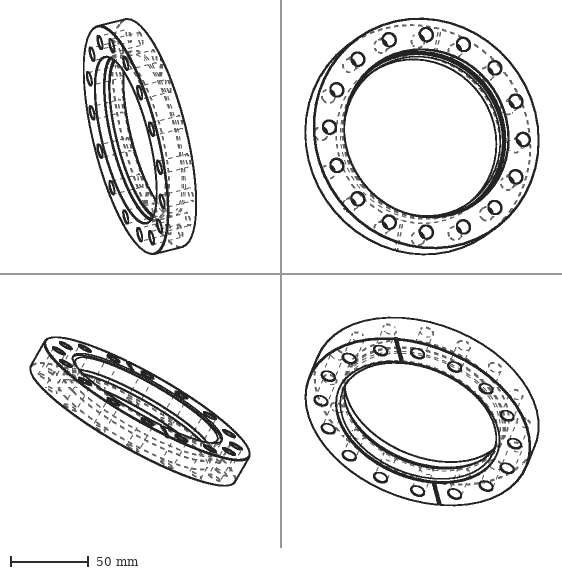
import cadquery as cq
import math

flange_diameter = 151.6
flange_thickness = 19.9
rim_chamfer = 0.5
front_face = -flange_thickness / 2
back_face = flange_thickness / 2

bolt_count = 16
bolt_circle_diameter = 130.3
bolt_hole_diameter = 8.4
bolt_hole_chamfer = 0.4

seat_diameter = 110.2
seat_chamfer = 0.4

insert_bore_diameter = 105.0
socket_diameter = 108.2
socket_depth = 3.2
socket_chamfer = 0.3
insert_recess = 6.2
insert_back_recess = 1.3
insert_front = front_face + insert_recess
socket_floor = insert_front + socket_depth
insert_back = back_face - insert_back_recess

groove_width = 1.6
groove_depth = 1.0
groove_tilt = 360 / bolt_count / 2


def revolve_about_y(half_section):
    """Turn a closed (radius, y) outline about the flange axis."""
    outline = cq.Workplane("XY").polyline(half_section).close()
    return outline.revolve(360, (0, 0, 0), (0, 1, 0))


def bolt_hole_cutter():
    """Cutter for one bolt hole on the flange axis, chamfered at both faces."""
    radius = bolt_hole_diameter / 2
    mouth = radius + bolt_hole_chamfer
    return revolve_about_y([
        (0, front_face),
        (mouth, front_face),
        (radius, front_face + bolt_hole_chamfer),
        (radius, back_face - bolt_hole_chamfer),
        (mouth, back_face),
        (0, back_face),
    ])


def leak_check_grooves():
    """Cutter for both grooves: one bar across the back face, tilted about the flange axis."""
    bar = cq.Workplane("XY").box(groove_width, groove_depth, flange_diameter)
    bar = bar.translate((0, back_face - groove_depth / 2, 0))
    return bar.rotate((0, 0, 0), (0, 1, 0), groove_tilt)


def make_outer_ring():
    rim = flange_diameter / 2
    seat = seat_diameter / 2
    ring = revolve_about_y([
        (seat + seat_chamfer, front_face),
        (rim - rim_chamfer, front_face),
        (rim, front_face + rim_chamfer),
        (rim, back_face - rim_chamfer),
        (rim - rim_chamfer, back_face),
        (seat, back_face),
        (seat, front_face + seat_chamfer),
    ])
    cutter = bolt_hole_cutter()
    for index in range(bolt_count):
        angle = 2 * math.pi * index / bolt_count
        x = bolt_circle_diameter / 2 * math.cos(angle)
        z = bolt_circle_diameter / 2 * math.sin(angle)
        ring = ring.cut(cutter.translate((x, 0, z)))
    return ring.cut(leak_check_grooves())


def make_insert():
    bore = insert_bore_diameter / 2
    socket = socket_diameter / 2
    outside = seat_diameter / 2
    return revolve_about_y([
        (bore, socket_floor),
        (socket, socket_floor),
        (socket, insert_front + socket_chamfer),
        (socket + socket_chamfer, insert_front),
        (outside, insert_front),
        (outside, insert_back),
        (bore, insert_back),
    ])


outer_ring = make_outer_ring()
insert = make_insert()

result = cq.Compound.makeCompound([outer_ring.val(), insert.val()])